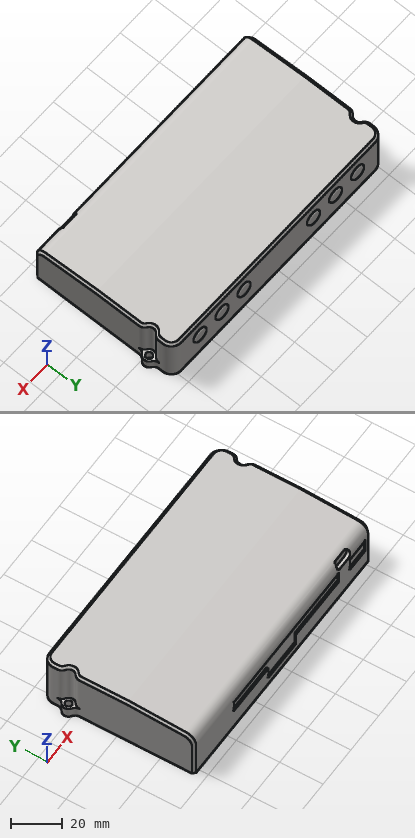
import cadquery as cq
import math

total_width = 131.6
total_depth = 71.0
height = 24.0
lug_radius = 2.8
half_width = total_width / 2 - lug_radius
button_length = 0.9
body_depth = total_depth - button_length
front_height = 22.1
slope_depth = 31.0
front_edge_radius = 5.0
back_corner_radius = 5.0
edge_chamfer = 1.2

lug_y = 58.0
lug_height = 4.9
screw_hole_diameter = 3.0
blend_radius = 3.3

panel_depth = 0.8
panel_top = 15.1
label_left = -34.7
label_right = 40.8
label_bottom = 9.9
tab_half_width = 10.0
tab_bottom = 4.1
window_left = 48.5
window_right = 59.9
window_bottom = 9.0

notch_x = 44.5
notch_width = 9.2
notch_bottom = 17.2
notch_top = 21.3
notch_corner_radius = 1.7
notch_depth = 1.8

button_diameter = 7.2
button_rounding = 0.7
button_z = 14.1
button_first_x = 20.8
button_spacing = 13.2
buttons_per_side = 3


def make_block():
    """Box with a top that slopes down to the rounded front edge."""
    block = (
        cq.Workplane("YZ")
        .polyline([(0, 0), (body_depth, 0), (body_depth, height), (slope_depth, height), (0, front_height)])
        .close()
        .extrude(half_width, both=True)
    )
    block = block.edges(cq.selectors.NearestToPointSelector((0, 0, front_height))).fillet(front_edge_radius)
    return block.edges("|Z and >Y").fillet(back_corner_radius)


def make_lug_profile(thickness):
    """Circle on the right wall, flared into the wall line by tangent arcs on both sides.

    The outline mirrors about the wall, so it serves for the lug and for the scallop above it.
    """
    centre_distance = lug_radius + blend_radius
    flare = math.sqrt(centre_distance**2 - blend_radius**2)
    tangent_x = lug_radius * blend_radius / centre_distance
    tangent_y = lug_radius * flare / centre_distance
    angle = math.atan2(flare, blend_radius)
    blend_mid_x = blend_radius * (1 - math.cos(angle / 2))
    blend_mid_y = flare - blend_radius * math.sin(angle / 2)
    half = (
        cq.Workplane("XY")
        .moveTo(0, -flare)
        .threePointArc((blend_mid_x, -blend_mid_y), (tangent_x, -tangent_y))
        .threePointArc((lug_radius, 0), (tangent_x, tangent_y))
        .threePointArc((blend_mid_x, blend_mid_y), (0, flare))
        .close()
        .extrude(thickness)
    )
    return half.union(half.mirror("YZ")).translate((half_width, lug_y, 0))


def both_sides(solid):
    return solid.union(solid.mirror("YZ"))


def chamfer_top_and_sides(body):
    """Bevel the side and back edges of the top, carried down the front corners."""
    side_zone = half_width - lug_radius - back_corner_radius
    mid_height = height / 2
    straight_up = 0.01
    bevel_edges = []
    for edge in body.edges().vals():
        box = edge.BoundingBox()
        above_middle = box.zmin > mid_height
        at_side = max(abs(box.xmin), abs(box.xmax)) > side_zone
        side_edge = above_middle and at_side and box.ylen > straight_up
        back_edge = above_middle and box.ymin > body_depth - edge_chamfer
        front_corner = box.ymax < edge_chamfer and box.zlen > mid_height
        if side_edge or back_edge or front_corner:
            bevel_edges.append(edge)
    return body.newObject(bevel_edges).chamfer(edge_chamfer)


def front_pocket(points):
    return cq.Workplane("XZ").polyline(points).close().extrude(-panel_depth)


def make_label_recess():
    return front_pocket([
        (label_left, panel_top),
        (label_right, panel_top),
        (label_right, label_bottom),
        (tab_half_width, label_bottom),
        (tab_half_width, tab_bottom),
        (-tab_half_width, tab_bottom),
        (-tab_half_width, label_bottom),
        (label_left, label_bottom),
    ])


def make_window_recess():
    return front_pocket([
        (window_left, panel_top),
        (window_right, panel_top),
        (window_right, window_bottom),
        (window_left, window_bottom),
    ])


def make_notch():
    return (
        cq.Workplane("XZ")
        .center(notch_x, (notch_bottom + notch_top) / 2)
        .rect(notch_width, notch_top - notch_bottom)
        .extrude(-notch_depth)
        .edges("|Y")
        .fillet(notch_corner_radius)
    )


def make_button(x):
    return (
        cq.Workplane("XZ", origin=(x, body_depth, button_z))
        .circle(button_diameter / 2)
        .extrude(-button_length)
        .faces(">Y")
        .fillet(button_rounding)
    )


body = make_block()
body = body.cut(both_sides(make_lug_profile(height)))
body = chamfer_top_and_sides(body)
body = body.union(both_sides(make_lug_profile(lug_height)))
screw_hole = cq.Workplane("XY").center(half_width, lug_y).circle(screw_hole_diameter / 2).extrude(lug_height)
body = body.cut(both_sides(screw_hole))

body = body.cut(make_label_recess()).cut(make_window_recess()).cut(make_notch())

for index in range(buttons_per_side):
    button_x = button_first_x + index * button_spacing
    body = body.union(both_sides(make_button(button_x)))

result = body